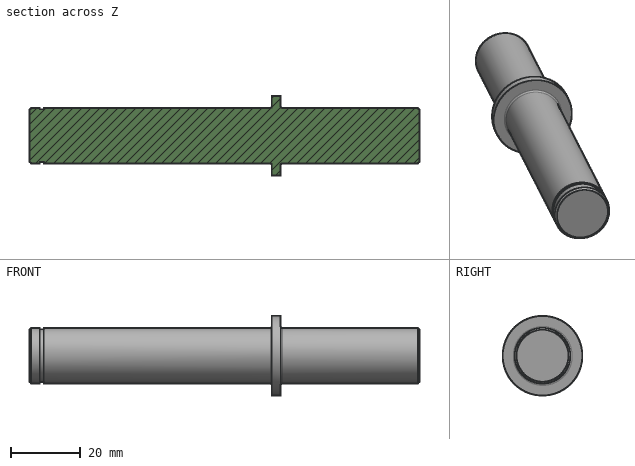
import cadquery as cq

length = 112.0
pin_radius = 16.0 / 2
pin_start = -length / 2
pin_end = length / 2
end_chamfer = 0.6

groove_start = pin_start + 3.0
groove_width = 1.1
groove_depth = 0.4

collar_radius = 23.0 / 2
collar_start = pin_start + 69.5
collar_width = 2.6
collar_end = collar_start + collar_width
root_fillet = 0.5

end_face_radius = pin_radius - end_chamfer
groove_radius = pin_radius - groove_depth
groove_end = groove_start + groove_width
fillet_top = pin_radius + root_fillet

half_section = (
    cq.Workplane("XZ")
    .moveTo(pin_start, 0)
    .lineTo(pin_start, end_face_radius)
    .lineTo(pin_start + end_chamfer, pin_radius)
    .lineTo(groove_start, pin_radius)
    .lineTo(groove_start, groove_radius)
    .lineTo(groove_end, groove_radius)
    .lineTo(groove_end, pin_radius)
    .lineTo(collar_start - root_fillet, pin_radius)
    .radiusArc((collar_start, fillet_top), -root_fillet)
    .lineTo(collar_start, collar_radius)
    .lineTo(collar_end, collar_radius)
    .lineTo(collar_end, fillet_top)
    .radiusArc((collar_end + root_fillet, pin_radius), -root_fillet)
    .lineTo(pin_end - end_chamfer, pin_radius)
    .lineTo(pin_end, end_face_radius)
    .lineTo(pin_end, 0)
    .close()
)

result = half_section.revolve(360, (0, 0, 0), (1, 0, 0))